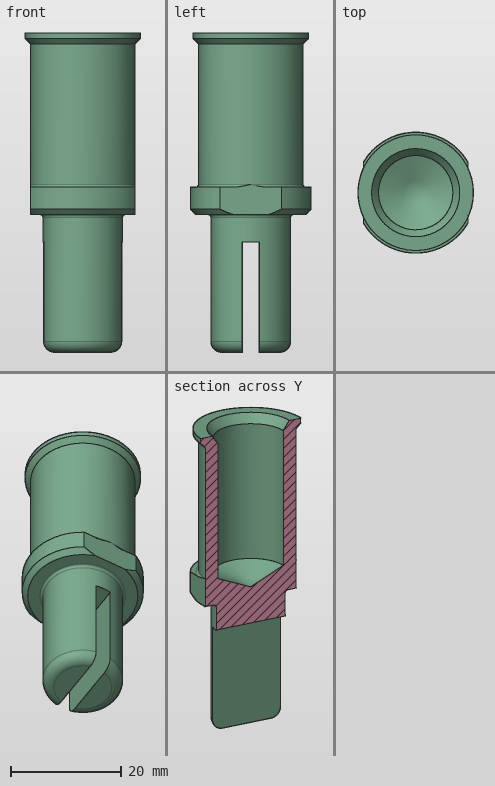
import cadquery as cq
import math

total_height = 58.0
collar_bottom = 25.0
collar_top = 30.0

pin_radius = 7.25
pin_end_fillet = 2.0
pin_root_fillet = 0.5
slot_width = 3.0
slot_height = 20.0

collar_radius = 11.0
collar_chamfer = 1.0

body_radius = 9.5
body_root_fillet = 0.5
rim_radius = 10.5
rim_thickness = 1.0

bore_radius = 6.75
bore_mouth_radius = 8.0
bore_mouth_depth = 1.75
bore_floor = collar_top
drill_point_angle = 134.0


def fillet_midpoint(center_r, center_z, radius, r_sign, z_sign):
    """Middle of a quarter arc, on the side of its centre given by the signs."""
    offset = radius * math.sqrt(0.5)
    return (center_r + r_sign * offset, center_z + z_sign * offset)


def revolve_about_z(profile):
    """Full turn of an XZ half-profile about the part's Z axis."""
    return profile.revolve(360, (0, 0, 0), (0, 1, 0))


def make_outer_shape():
    """Pin, collar, sleeve and rim revolved as one solid around Z."""
    end_radius = pin_radius - pin_end_fillet
    pin_root_radius = pin_radius + pin_root_fillet
    pin_root_bottom = collar_bottom - pin_root_fillet
    body_root_radius = body_radius + body_root_fillet
    body_root_top = collar_top + body_root_fillet
    rim_bottom = total_height - rim_thickness
    rim_cone_height = rim_radius - body_radius

    pin_end_mid = fillet_midpoint(end_radius, pin_end_fillet, pin_end_fillet, 1, -1)
    pin_root_mid = fillet_midpoint(pin_root_radius, pin_root_bottom, pin_root_fillet, -1, 1)
    body_root_mid = fillet_midpoint(body_root_radius, body_root_top, body_root_fillet, -1, -1)

    profile = (
        cq.Workplane("XZ")
        .moveTo(0, 0)
        .lineTo(end_radius, 0)
        .threePointArc(pin_end_mid, (pin_radius, pin_end_fillet))
        .lineTo(pin_radius, pin_root_bottom)
        .threePointArc(pin_root_mid, (pin_root_radius, collar_bottom))
        .lineTo(collar_radius - collar_chamfer, collar_bottom)
        .lineTo(collar_radius, collar_bottom + collar_chamfer)
        .lineTo(collar_radius, collar_top)
        .lineTo(body_root_radius, collar_top)
        .threePointArc(body_root_mid, (body_radius, body_root_top))
        .lineTo(body_radius, rim_bottom - rim_cone_height)
        .lineTo(rim_radius, rim_bottom)
        .lineTo(rim_radius, total_height)
        .lineTo(0, total_height)
        .close()
    )
    return revolve_about_z(profile)


def make_bore():
    """Blind hole with a conical floor and a countersunk mouth."""
    point_depth = bore_radius / math.tan(math.radians(drill_point_angle / 2))
    profile = (
        cq.Workplane("XZ")
        .moveTo(0, bore_floor - point_depth)
        .lineTo(bore_radius, bore_floor)
        .lineTo(bore_radius, total_height - bore_mouth_depth)
        .lineTo(bore_mouth_radius, total_height)
        .lineTo(0, total_height)
        .close()
    )
    return revolve_about_z(profile)


def make_collar_flat_cutters():
    """Material beyond the two flats at -X and +X, between pin and sleeve."""
    cutter_height = collar_top + body_root_fillet - collar_bottom
    cutter_depth = collar_radius - body_radius
    cutter_center = body_radius + cutter_depth / 2
    return (
        cq.Workplane("XY", origin=(0, 0, collar_bottom))
        .pushPoints([(-cutter_center, 0), (cutter_center, 0)])
        .rect(cutter_depth, 2 * collar_radius)
        .extrude(cutter_height)
    )


def make_pin_slot():
    """Slot along X that splits the pin from its free end."""
    return cq.Workplane("XY").rect(2 * pin_radius, slot_width).extrude(slot_height)


result = (
    make_outer_shape()
    .cut(make_collar_flat_cutters())
    .cut(make_pin_slot())
    .cut(make_bore())
)